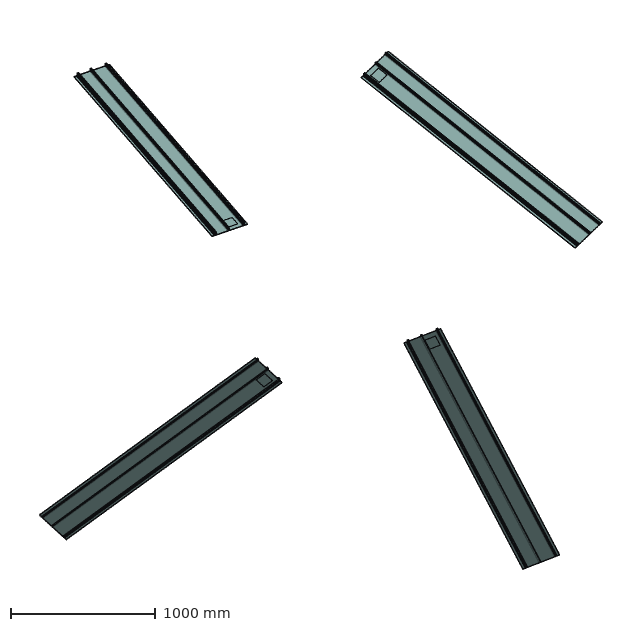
import cadquery as cq
import math

panel_length = 2000.0
panel_width = 279.5
total_height = 25.2
label_thickness = 0.2
plate_thickness = 3.7
plate_bottom = label_thickness
plate_top = plate_bottom + plate_thickness

rail_width = 12.6
back_wall = 3.0
face_wall = 3.2
slot_floor_low = 6.5
slot_floor_angle = 30.0
base_fillet = 1.55

outer_rail_face = 116.1
middle_rail_face = 14.75
rails = [(outer_rail_face, 1), (outer_rail_face, -1), (middle_rail_face, -1)]

groove_inner = 113.0
groove_outer = 120.6
groove_depth = 1.2

label_length = 80.0
label_width = 80.0
label_end_gap = 38.0
label_side_gap = 57.0


def cross_section():
    """Sketch plane at the -X end: sketch coordinates are (Y, Z), extruding runs along +X."""
    return cq.Workplane("YZ", origin=(-panel_length / 2, 0, 0))


def long_bar(y_from, y_to, z_from, z_to):
    """A rectangular bar running the full length of the panel."""
    center_y = (y_from + y_to) / 2
    center_z = (z_from + z_to) / 2
    section = cross_section().center(center_y, center_z).rect(abs(y_to - y_from), z_to - z_from)
    return section.extrude(panel_length)


def plate():
    body = long_bar(-panel_width / 2, panel_width / 2, plate_bottom, plate_top)
    for side in (1, -1):
        groove = long_bar(side * groove_inner, side * groove_outer, plate_bottom, plate_bottom + groove_depth)
        body = body.cut(groove)
    return body


def clip_rail(face, side):
    """One rail with filleted feet and a slot whose floor rises toward its face wall."""
    back = face - rail_width
    slot_back = back + back_wall
    slot_face = face - face_wall
    floor_rise = (slot_face - slot_back) * math.tan(math.radians(slot_floor_angle))
    root = plate_bottom + plate_thickness / 2
    fillet_top = plate_top + base_fillet
    arc_inset = base_fillet * (1 - math.sqrt(0.5))

    def at(distance, z):
        return (side * distance, z)

    outline = (
        cross_section()
        .moveTo(*at(back - base_fillet, root))
        .lineTo(*at(back - base_fillet, plate_top))
        .threePointArc(at(back - arc_inset, plate_top + arc_inset), at(back, fillet_top))
        .lineTo(*at(back, total_height))
        .lineTo(*at(slot_back, total_height))
        .lineTo(*at(slot_back, slot_floor_low))
        .lineTo(*at(slot_face, slot_floor_low + floor_rise))
        .lineTo(*at(slot_face, total_height))
        .lineTo(*at(face, total_height))
        .lineTo(*at(face, fillet_top))
        .threePointArc(at(face + arc_inset, plate_top + arc_inset), at(face + base_fillet, plate_top))
        .lineTo(*at(face + base_fillet, root))
        .close()
    )
    return outline.extrude(panel_length)


def profiled_panel():
    body = plate()
    for face, side in rails:
        body = body.union(clip_rail(face, side))
    return body.clean().solids()


def underside_label():
    x_min = panel_length / 2 - label_end_gap - label_length
    y_min = panel_width / 2 - label_side_gap - label_width
    sheet = cq.Workplane("XY").box(label_length, label_width, label_thickness, centered=False)
    return sheet.translate((x_min, y_min, 0))


panel = profiled_panel()
label = underside_label()
result = cq.Compound.makeCompound([panel.val(), label.val()])